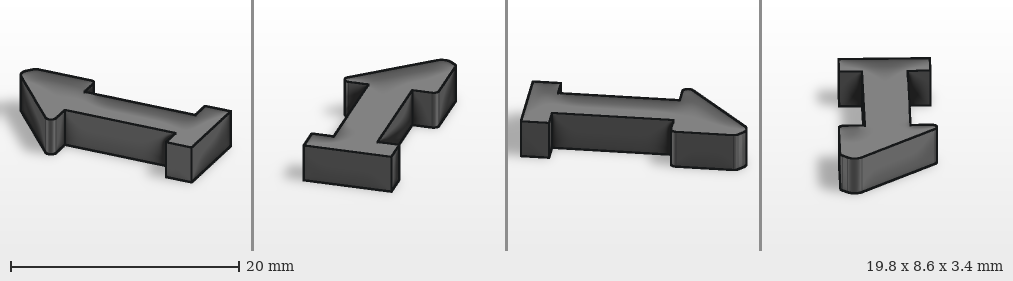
import cadquery as cq
import math

length = 19.8
head_width = 8.6
thickness = 3.4

head_length = 6.57
flank_angle = 50.0
nose_radius = 0.99
corner_radius = 0.5

shank_width = 4.0
tail_length = 2.5
tail_width = 8.0

flank_slope = math.tan(math.radians(flank_angle))
nose_x = nose_radius - nose_radius / math.sin(math.radians(flank_angle))
tip_angle = 90.0 - flank_angle
tip_setback = corner_radius / math.tan(math.radians(tip_angle / 2))
tip_y = -head_width / 2 + corner_radius - tip_setback
nose_y = tip_y + (head_length - nose_x) * flank_slope
top_y = head_width / 2
shoulder_x = nose_x + (top_y - nose_y) / flank_slope


def make_head():
    """Extrude the sharp wedge and round its four upright edges."""
    nose = (nose_x, nose_y)
    corners = [(shoulder_x, top_y), (head_length, top_y), (head_length, tip_y)]
    head = cq.Workplane("XY").polyline([nose] + corners).close().extrude(thickness)
    head = head.edges(cq.selectors.NearestToPointSelector((*nose, thickness / 2))).fillet(nose_radius)
    for corner in corners:
        edge = cq.selectors.NearestToPointSelector((*corner, thickness / 2))
        head = head.edges(edge).fillet(corner_radius)
    return head


def make_bar(start_x, end_x, width):
    """Make a rectangular bar along X, centred on Y = 0."""
    bar = cq.Workplane("XY").box(end_x - start_x, width, thickness, centered=(False, True, False))
    return bar.translate((start_x, 0, 0))


tail_x = length - tail_length
shank = make_bar(head_length, tail_x, shank_width)
tail = make_bar(tail_x, length, tail_width)
result = make_head().union(shank).union(tail)